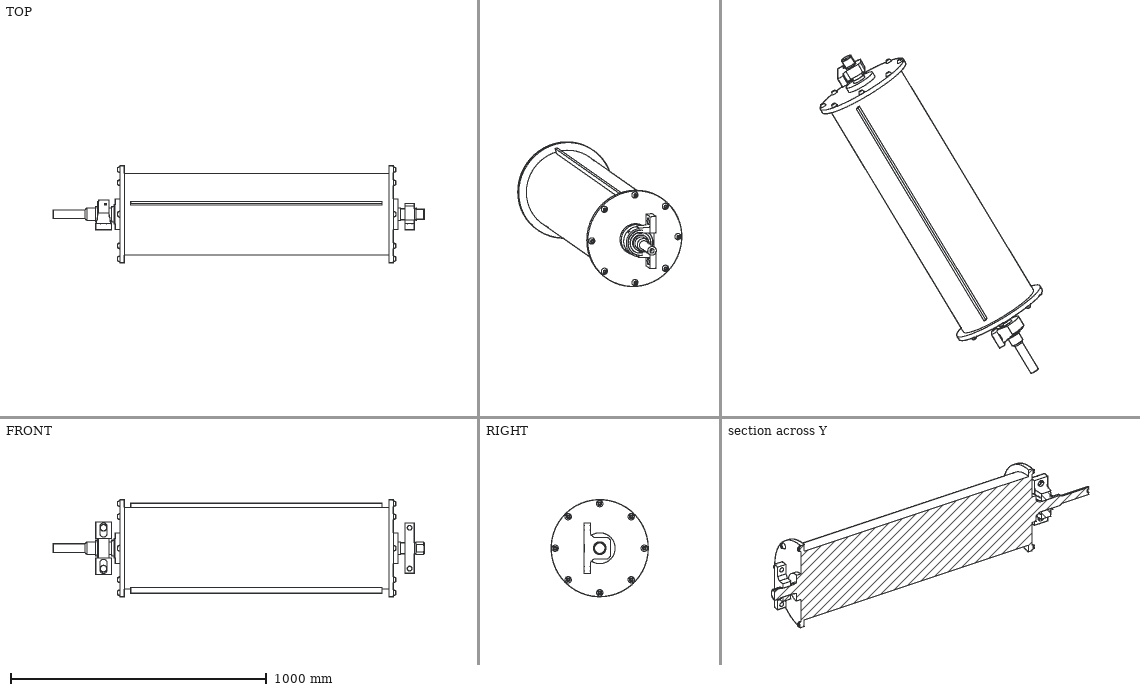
import cadquery as cq

left_end = -726.0
right_end = 726.0

drum_diameter = 320.0
flange_diameter = 380.0
flange_thickness = 17.0
drum_left = -448.0
drum_right = 587.0
hub_diameter = 120.0
hub_length = 19.0
flange_left = drum_left - flange_thickness
flange_right = drum_right + flange_thickness
hub_left = flange_left - hub_length
hub_right = flange_right + hub_length

shaft_diameter = 50.0
journal_diameter = 35.0
journal_end = -602.0
journal_cone = 7.0
seal_diameter = 75.0
seal_length = 5.0
collar_diameter = 62.0
collar_length = 9.0
centre_hole_diameter = 17.0
centre_hole_tip_diameter = 6.0
centre_hole_depth = 9.0

neck_diameter = 44.0
shoulder_length = 10.0
rim_start = 693.0
rim_length = 3.0
flat_distance = 20.0
end_chamfer = 5.0

screw_count = 8
screw_circle_radius = 175.0
screw_head_diameter = 25.0
screw_head_top_diameter = 15.0
screw_head_height = 10.0
socket_diameter = 8.0
socket_depth = 6.0

bar_left = -423.0
bar_right = 561.0
bar_thickness = 9.0
bar_outer_radius = 182.0
bar_angle = 14.8
bar_count = 2

bearing_center = -529.0
foot_width = 62.0
foot_half_height = 103.0
foot_inner_height = 38.0
foot_back = -36.0
foot_front = -61.0
recess_width = 28.0
recess_length = 55.0
recess_height = 71.0
recess_depth = 12.0
bolt_hole_diameter = 25.0
bolt_hole_height = 80.0
housing_diameter = 113.0
housing_length = 40.0
housing_center = -527.0
housing_front = -55.0
boss_diameter = 100.0
boss_length = 5.0
boss_recess_diameter = 83.0
sleeve_left = bearing_center - foot_width / 2
web_half_height = 60.0
web_top = 6.0
web_top_width = 42.0
web_bottom_width = 57.0
web_fillet = 7.0
oil_hole_diameter = 8.0
oil_hole_depth = 9.0
oil_hole_angle = 45.0
oil_hole_x = -522.0

clamp_left = 650.0
clamp_width = 38.0
clamp_half_height = 99.0
clamp_body_half_height = 42.0
clamp_top = 42.0
clamp_chamfer = 10.0
clamp_flare = 13.0
clamp_hole_diameter = 17.0
clamp_hole_height = 80.0


def cylinder(start, end, diameter):
    """Cylinder on the roller axis between two X positions."""
    return cq.Workplane("YZ", origin=(start, 0, 0)).circle(diameter / 2).extrude(end - start)


def box(x_range, y_range, z_range):
    """Box between the given limits."""
    size = [high - low for low, high in (x_range, y_range, z_range)]
    corner = (x_range[0], y_range[0], z_range[0])
    return cq.Workplane("XY", origin=corner).box(*size, centered=False)


def cone(start, end, start_diameter, end_diameter):
    """Truncated cone on the roller axis between two X positions."""
    outline = [(start, 0), (start, start_diameter / 2), (end, end_diameter / 2), (end, 0)]
    return cq.Workplane("XY").polyline(outline).close().revolve(360, (0, 0, 0), (1, 0, 0))


def screw_heads(face, direction):
    """Ring of tapered socket heads standing on a flange face."""
    top = face + direction * screw_head_height
    head = cone(face, top, screw_head_diameter, screw_head_top_diameter)
    head = head.cut(cylinder(top, top - direction * socket_depth, socket_diameter))
    ring = cq.Workplane("YZ")
    for index in range(screw_count):
        angle = 360 / screw_count * index
        ring = ring.add(head.translate((0, 0, screw_circle_radius)).rotate((0, 0, 0), (1, 0, 0), angle))
    return ring.vals()


def driver_bar(angle):
    """Radial strip on the drum, turned about the roller axis."""
    half = bar_thickness / 2
    strip = box((bar_left, bar_right), (-half, half), (0, bar_outer_radius))
    return strip.rotate((0, 0, 0), (1, 0, 0), angle)


def left_shaft():
    """Stepped journal with its collars and tapered centre hole."""
    cone_end = journal_end + journal_cone
    collar_right = hub_left - seal_length
    shaft = cylinder(left_end, journal_end, journal_diameter)
    shaft = shaft.union(cone(journal_end, cone_end, journal_diameter, shaft_diameter))
    shaft = shaft.union(cylinder(cone_end, hub_left, shaft_diameter))
    shaft = shaft.union(cylinder(collar_right - collar_length, collar_right, collar_diameter))
    shaft = shaft.union(cylinder(collar_right, hub_left, seal_diameter))
    return shaft.cut(
        cone(left_end, left_end + centre_hole_depth, centre_hole_diameter, centre_hole_tip_diameter)
    )


def right_shaft():
    """Shoulder, clamped neck, thin rim and chamfered end with two flats."""
    flats_start = rim_start + rim_length
    radius = shaft_diameter / 2
    shaft = cylinder(hub_right, hub_right + shoulder_length, shaft_diameter)
    shaft = shaft.union(cylinder(hub_right, rim_start, neck_diameter))
    shaft = shaft.union(cylinder(rim_start, flats_start, shaft_diameter))
    end = cylinder(flats_start, right_end, shaft_diameter).faces(">X").chamfer(end_chamfer)
    end = end.intersect(
        box((flats_start, right_end), (-flat_distance, flat_distance), (-radius, radius))
    )
    return shaft.union(end)


def make_roller():
    """Drum, flanges, hubs, screws, driver bars and both shaft ends."""
    roller = cylinder(drum_left, drum_right, drum_diameter)
    for index in range(bar_count):
        roller = roller.union(driver_bar(360 / bar_count * index - bar_angle))
    roller = roller.union(cylinder(flange_left, drum_left, flange_diameter))
    roller = roller.union(cylinder(drum_right, flange_right, flange_diameter))
    roller = roller.union(cylinder(hub_left, flange_left, hub_diameter))
    roller = roller.union(cylinder(flange_right, hub_right, hub_diameter))
    for head in screw_heads(flange_left, -1) + screw_heads(flange_right, 1):
        roller = roller.union(cq.Workplane(head))
    return roller.union(left_shaft()).union(right_shaft())


def mounting_foot():
    """Upper mounting foot with an obround recess around its bolt hole."""
    half = foot_width / 2
    foot = box(
        (bearing_center - half, bearing_center + half),
        (foot_front, foot_back),
        (foot_inner_height, foot_half_height),
    )
    recess = (
        cq.Workplane("XZ", origin=(bearing_center, foot_front + recess_depth, recess_height))
        .slot2D(recess_length, recess_width, 90)
        .extrude(recess_depth)
    )
    hole = (
        cq.Workplane("XZ", origin=(bearing_center, foot_back, bolt_hole_height))
        .circle(bolt_hole_diameter / 2)
        .extrude(foot_back - foot_front)
    )
    return foot.cut(recess).cut(hole)


def web():
    """Tapered web that joins the upper foot to the housing, flared where it meets the foot."""
    top_half = web_top_width / 2
    bottom_half = web_bottom_width / 2
    taper = [
        (bearing_center - bottom_half, foot_back),
        (bearing_center + bottom_half, foot_back),
        (bearing_center + top_half, web_top),
        (bearing_center - top_half, web_top),
    ]
    height = web_half_height - foot_inner_height
    body = cq.Workplane("XY", origin=(0, 0, foot_inner_height)).polyline(taper).close().extrude(height)
    flare = (
        cq.Workplane("YZ", origin=(bearing_center - bottom_half, 0, 0))
        .moveTo(foot_back, web_half_height)
        .lineTo(foot_back + web_fillet, web_half_height)
        .radiusArc((foot_back, web_half_height + web_fillet), web_fillet)
        .close()
        .extrude(web_bottom_width)
    )
    return body.union(flare)


def make_bearing_bracket():
    """Bearing housing with a sleeve, two webs and two recessed feet."""
    half = housing_length / 2
    left = housing_center - half
    right = housing_center + half
    radius = housing_diameter / 2
    block = box((left, right), (housing_front, 0), (-foot_inner_height, foot_inner_height))
    bracket = cylinder(left, right, housing_diameter).union(block)
    bracket = bracket.intersect(box((left, right), (housing_front, radius), (-radius, radius)))
    side = mounting_foot().union(web())
    bracket = bracket.union(side).union(side.mirror("XY"))
    boss = cylinder(left - boss_length, left, boss_diameter)
    boss = boss.cut(cylinder(left - boss_length, left, boss_recess_diameter))
    bracket = bracket.union(boss).union(cylinder(sleeve_left, left, collar_diameter))
    oil_hole = (
        cq.Workplane("XY", origin=(oil_hole_x, 0, radius - oil_hole_depth))
        .circle(oil_hole_diameter / 2)
        .extrude(2 * oil_hole_depth)
        .rotate((0, 0, 0), (1, 0, 0), -oil_hole_angle)
    )
    return bracket.cut(oil_hole).cut(cylinder(sleeve_left, right, shaft_diameter))


def make_clamp_bracket():
    """Clamp block on a flat foot with two fixing holes."""
    clamp_right = clamp_left + clamp_width
    upper_half = [
        (foot_front, 0),
        (foot_front, clamp_half_height),
        (foot_back, clamp_half_height),
        (foot_back, clamp_body_half_height + clamp_flare),
        (foot_back + clamp_flare, clamp_body_half_height),
        (clamp_top - clamp_chamfer, clamp_body_half_height),
        (clamp_top, clamp_body_half_height - clamp_chamfer),
        (clamp_top, 0),
    ]
    bracket = (
        cq.Workplane("YZ", origin=(clamp_left, 0, 0))
        .polyline(upper_half)
        .mirrorX()
        .extrude(clamp_width)
    )
    holes = (
        cq.Workplane("XZ", origin=((clamp_left + clamp_right) / 2, foot_back, 0))
        .pushPoints([(0, clamp_hole_height), (0, -clamp_hole_height)])
        .circle(clamp_hole_diameter / 2)
        .extrude(foot_back - foot_front)
    )
    return bracket.cut(holes).cut(cylinder(clamp_left, clamp_right, neck_diameter))


roller = make_roller()
bearing_bracket = make_bearing_bracket()
clamp_bracket = make_clamp_bracket()

result = cq.Compound.makeCompound([roller.val(), bearing_bracket.val(), clamp_bracket.val()])